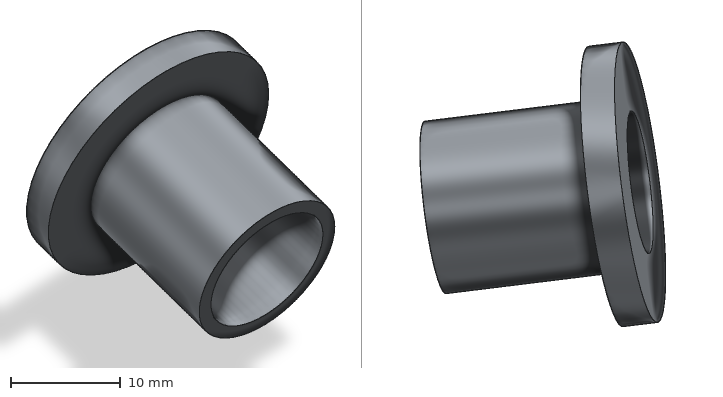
import cadquery as cq

flange_diameter = 25.8
flange_thickness = 3.17
sleeve_diameter = 15.87
bore_diameter = 13.1
overall_length = 19.0


def cylinder_along_x(diameter, length):
    """Solid round bar from X = 0 to X = length, centred on the X axis."""
    return cq.Workplane("YZ").circle(diameter / 2).extrude(length)


flange = cylinder_along_x(flange_diameter, flange_thickness)
sleeve = cylinder_along_x(sleeve_diameter, overall_length)
bore = cylinder_along_x(bore_diameter, overall_length)

result = flange.union(sleeve).cut(bore)